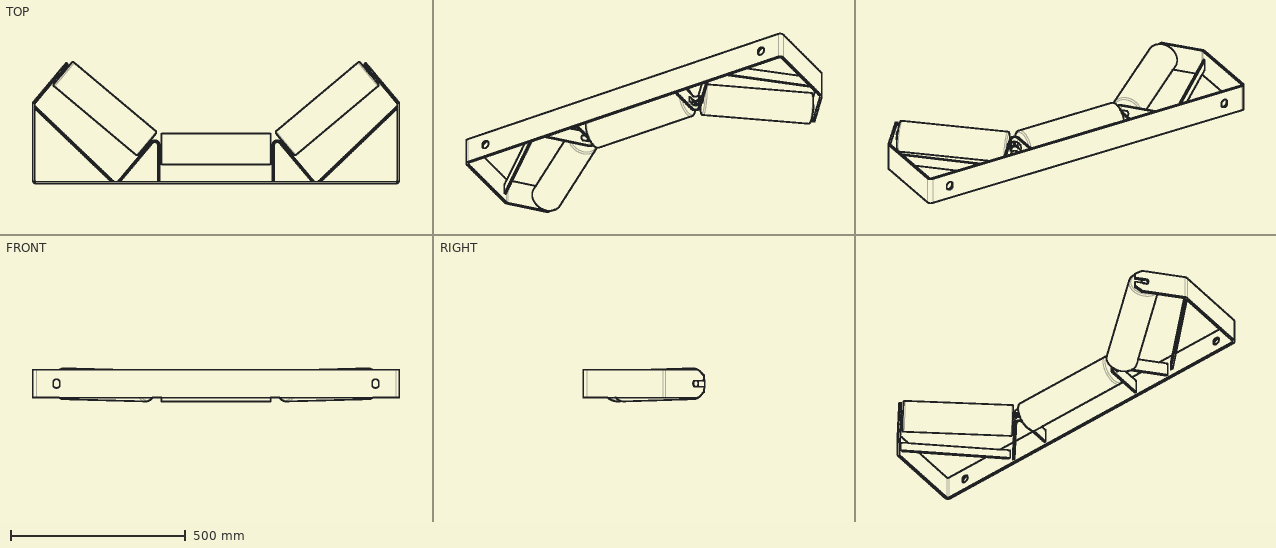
import cadquery as cq
import math


overall_width = 1050.0
strap_thickness = 6.0
strap_height = 80.0
corner_radius = 10.0
arm_bend_radius = 13.0
arm_bend_y = 232.0
arm_end_y = 346.0
arm_chamfer_along = 21.0
arm_chamfer_z = 16.0
hole_width = 20.0
hole_height = 25.0
hole_x = 457.0

roller_diameter = 89.0
roller_length = 315.0
roller_rim_fillet = 4.0
shaft_diameter = 20.0
shaft_across_flats = 17.0
shaft_gap = 4.0
roller_incline = 40.0
roller_tilt = 1.2
side_roller_x = 318.0
side_roller_y = 215.0
side_roller_z = -3.5
centre_roller_y = 100.0
centre_roller_z = -6.8
seat_opening = 63.0

bracket_thickness = 5.0
bracket_height = 45.0
bracket_bend_radius = 14.0
bracket_foot_x = 281.0
brace_thickness = 5.0
brace_height = 30.0
brace_wall_y = 219.0
brace_foot_x = 296.0

wall_outer_x = overall_width / 2
wall_inner_x = wall_outer_x - strap_thickness
base_inner_y = strap_thickness
incline = math.radians(roller_incline)
plate_run_x = math.sin(incline)
plate_run_y = math.cos(incline)
neck_length = roller_length + 2 * shaft_gap
shaft_length = neck_length + 2 * bracket_thickness
seat_length = neck_length + 2 * strap_thickness + 2 * shaft_gap


def plate(outline, height, middle_z):
    """Upright plate: a plan outline raised to the given height about middle_z."""
    return (
        cq.Workplane("XY")
        .workplane(offset=middle_z - height / 2)
        .polyline(outline)
        .close()
        .extrude(height)
    )


def round_bend(body, corner, radius):
    """Fillet the vertical edge that stands at one plan corner."""
    x, y = corner
    reach = 0.5
    near_corner = cq.selectors.BoxSelector(
        (x - reach, y - reach, -strap_height),
        (x + reach, y + reach, strap_height),
    )
    return body.edges("|Z").edges(near_corner).fillet(radius)


def rod(diameter, length):
    """Cylinder along X, centred on the origin."""
    return cq.Workplane("YZ").workplane(offset=-length / 2).circle(diameter / 2).extrude(length)


def flattened_rod(length):
    """Shaft section with its upper and lower flats."""
    flats = cq.Workplane("XY").box(length, shaft_diameter, shaft_across_flats)
    return rod(shaft_diameter, length).intersect(flats)


def at_centre(body):
    return body.translate((0, centre_roller_y, centre_roller_z))


def at_side(body, side):
    return (
        body.rotate((0, 0, 0), (0, 1, 0), -side * roller_tilt)
        .rotate((0, 0, 0), (0, 0, 1), side * roller_incline)
        .translate((side * side_roller_x, side_roller_y, side_roller_z))
    )


def make_strap():
    """Base, two walls and two inclined arms, bent from one strip."""
    arm_run = (arm_end_y - arm_bend_y) / plate_run_y
    outer_corner = (wall_outer_x, 0)
    outer_bend = (wall_outer_x, arm_bend_y)
    outer_tip = (wall_outer_x - arm_run * plate_run_x, arm_end_y)
    inner_tip = (outer_tip[0] - strap_thickness * plate_run_y, arm_end_y - strap_thickness * plate_run_x)
    inner_bend = (wall_inner_x, arm_bend_y - strap_thickness * math.tan(incline / 2))
    inner_corner = (wall_inner_x, base_inner_y)
    right_half = [outer_corner, outer_bend, outer_tip, inner_tip, inner_bend, inner_corner]
    left_half = [(-x, y) for x, y in reversed(right_half)]
    strap = plate(right_half + left_half, strap_height, 0)

    bends = [
        (outer_corner, corner_radius),
        (inner_corner, corner_radius - strap_thickness),
        (outer_bend, arm_bend_radius),
        (inner_bend, arm_bend_radius - strap_thickness),
    ]
    for side in (-1, 1):
        for (x, y), radius in bends:
            strap = round_bend(strap, (side * x, y), radius)
        for end in (-1, 1):
            strap = strap.cut(arm_chamfer(outer_tip, side, end))
        strap = strap.cut(mounting_hole(side))
    return strap


def arm_chamfer(tip, side, end):
    """Wedge that bevels one corner of an arm tip; the two ends are its upper and lower corners."""
    arm_face = cq.Plane(
        origin=(side * tip[0], tip[1], 0),
        xDir=(-side * plate_run_x, plate_run_y, 0),
        normal=(side * plate_run_y, plate_run_x, 0),
    )
    edge = end * strap_height / 2
    return (
        cq.Workplane(arm_face)
        .polyline([(0, edge), (-arm_chamfer_along, edge), (0, edge - end * arm_chamfer_z)])
        .close()
        .extrude(2 * strap_thickness, both=True)
    )


def mounting_hole(side):
    """Upright slot through the base."""
    return (
        cq.Workplane("XZ")
        .center(side * hole_x, 0)
        .slot2D(hole_height, hole_width, 90)
        .extrude(-strap_thickness)
    )


def make_bracket():
    """Right-hand bracket: an upright leg and a sloping leg joined by a bend."""
    slope = plate_run_y / plate_run_x
    upright_outer_x = neck_length / 2
    upright_inner_x = upright_outer_x + bracket_thickness
    inner_foot_x = bracket_foot_x - bracket_thickness / plate_run_y
    outer_apex = (upright_outer_x, base_inner_y + (bracket_foot_x - upright_outer_x) * slope)
    inner_apex = (upright_inner_x, base_inner_y + (inner_foot_x - upright_inner_x) * slope)
    outline = [
        (bracket_foot_x, base_inner_y),
        outer_apex,
        (upright_outer_x, base_inner_y),
        (upright_inner_x, base_inner_y),
        inner_apex,
        (inner_foot_x, base_inner_y),
    ]
    bracket = plate(outline, bracket_height, centre_roller_z)
    bracket = round_bend(bracket, outer_apex, bracket_bend_radius)
    return round_bend(bracket, inner_apex, bracket_bend_radius - bracket_thickness)


def make_brace():
    """Right-hand flat brace between the base and the wall."""
    run_x = wall_inner_x - brace_foot_x
    run_y = brace_wall_y - base_inner_y
    half_thickness = brace_thickness / 2
    half_foot = half_thickness * math.hypot(run_x, run_y) / run_y
    half_wall = half_thickness * math.hypot(run_x, run_y) / run_x
    outline = [
        (brace_foot_x - half_foot, base_inner_y),
        (brace_foot_x + half_foot, base_inner_y),
        (wall_inner_x, brace_wall_y - half_wall),
        (wall_inner_x, brace_wall_y + half_wall),
    ]
    return plate(outline, brace_height, 0)


def make_seats():
    """Cutter for both seats of one roller: the flattened shaft swept toward +Y."""
    opening = cq.Workplane("XY").box(
        seat_length, seat_opening, shaft_across_flats, centered=(True, False, True)
    )
    return flattened_rod(seat_length).union(opening)


def make_frame():
    frame = make_strap()
    for right_piece in (make_bracket(), make_brace()):
        frame = frame.union(right_piece).union(right_piece.mirror("YZ"))
    frame = frame.cut(at_centre(make_seats()))
    for side in (-1, 1):
        frame = frame.cut(at_side(make_seats(), side))
    return frame


def make_roller():
    """Roller along X with its shaft: round beside the drum, flattened inside the plates."""
    drum = rod(roller_diameter, roller_length).faces("<X or >X").edges().fillet(roller_rim_fillet)
    return drum.union(rod(shaft_diameter, neck_length)).union(flattened_rod(shaft_length))


frame = make_frame()
centre_roller = at_centre(make_roller())
side_rollers = [at_side(make_roller(), side) for side in (-1, 1)]

result = cq.Compound.makeCompound(
    [frame.val(), centre_roller.val()] + [roller.val() for roller in side_rollers]
)